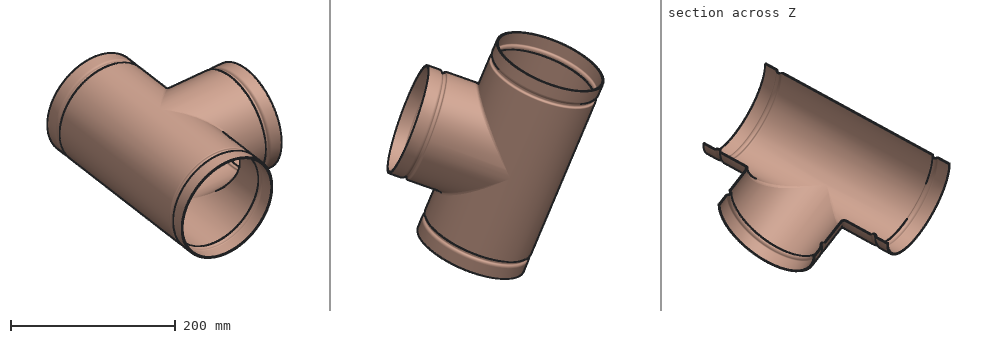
import cadquery as cq
import math


run_length = 266.7
branch_length = 133.4
outer_diameter = 139.8
bore_diameter = 135.8
groove_diameter = 134.5

groove_start = 15.5
outer_flank_bend = 19.0
groove_floor_start = 20.3
groove_floor_end = 21.5
inner_flank_bend = 23.5
groove_stop = 25.0

outer_crotch_radius = 3.5
inner_crotch_radius = 4.8
crotch_reach = 0.99

outer_radius = outer_diameter / 2
bore_radius = bore_diameter / 2
groove_depth = (outer_diameter - groove_diameter) / 2

bore_outer_flank_bend = groove_start + groove_floor_start - outer_flank_bend
bore_inner_flank_bend = groove_floor_end + groove_stop - inner_flank_bend


def blended_tee(radius, crotch_radius):
    """Solid tee of two equal cylinders with the two crotches between them rounded."""
    run = cq.Workplane("YZ").circle(radius).extrude(run_length / 2, both=True)
    branch = cq.Workplane("XZ").circle(radius).extrude(-branch_length)
    tee = run.union(branch)

    slab = cq.Workplane("XY").box(2 * run_length, 2 * run_length, 2 * crotch_reach * radius)
    middle = tee.intersect(slab).edges("%ELLIPSE").fillet(crotch_radius)
    return tee.union(middle)


def groove_ring(radius, outer_bend, inner_bend):
    """Ring with the groove section, sunk into a cylinder of this radius about X with its end at X = 0."""
    floor_radius = radius - groove_depth
    rim_radius = radius + groove_depth
    outer_share = (outer_bend - groove_start) / (groove_floor_start - groove_start)
    inner_share = (groove_stop - inner_bend) / (groove_stop - groove_floor_end)

    outer_chord = math.hypot(groove_floor_start - groove_start, groove_depth)
    inner_chord = math.hypot(groove_stop - groove_floor_end, groove_depth)
    outer_radii_sum = outer_chord ** 2 / (2 * groove_depth)
    inner_radii_sum = inner_chord ** 2 / (2 * groove_depth)

    return (
        cq.Workplane("XY")
        .moveTo(groove_start, rim_radius)
        .lineTo(groove_start, radius)
        .radiusArc((outer_bend, radius - outer_share * groove_depth), outer_share * outer_radii_sum)
        .radiusArc((groove_floor_start, floor_radius), (outer_share - 1) * outer_radii_sum)
        .lineTo(groove_floor_end, floor_radius)
        .radiusArc((inner_bend, radius - inner_share * groove_depth), (inner_share - 1) * inner_radii_sum)
        .radiusArc((groove_stop, radius), inner_share * inner_radii_sum)
        .lineTo(groove_stop, rim_radius)
        .close()
        .revolve(360, (0, 0, 0), (1, 0, 0))
    )


def cut_grooves(tee, ring):
    """Cut the ring into the tee near each of its three ends."""
    left_ring = ring.translate((-run_length / 2, 0, 0))
    right_ring = left_ring.mirror("YZ")
    branch_ring = ring.rotate((0, 0, 0), (0, 0, 1), -90).translate((0, branch_length, 0))
    return tee.cut(left_ring).cut(right_ring).cut(branch_ring)


shell = cut_grooves(
    blended_tee(outer_radius, outer_crotch_radius),
    groove_ring(outer_radius, outer_flank_bend, inner_flank_bend),
)
bore = cut_grooves(
    blended_tee(bore_radius, inner_crotch_radius),
    groove_ring(bore_radius, bore_outer_flank_bend, bore_inner_flank_bend),
)
result = shell.cut(bore)